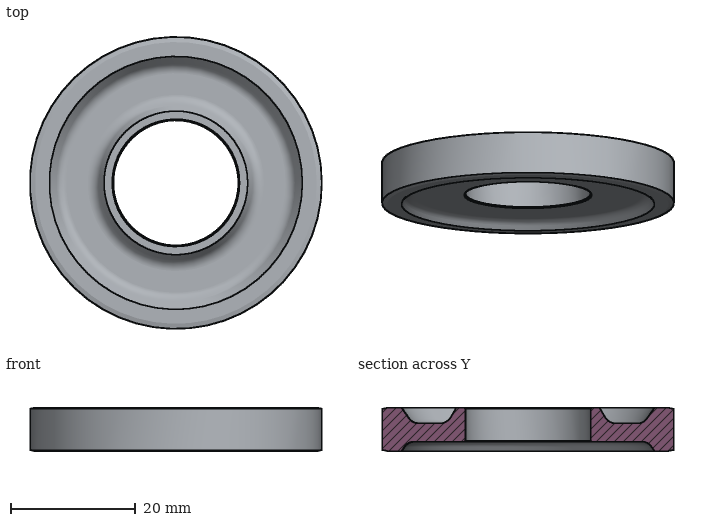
import cadquery as cq
import math

outer_diameter = 46.77
thickness = 7.0
rim_chamfer_width = 0.84
rim_chamfer_height = 0.2

bore_diameter = 20.0
bore_chamfer = 0.2
hub_setback = 1.5

rim_inner_radius = 20.25
rim_wall_angle = 55.0
rim_fillet = 1.8
top_recess_depth = 2.5

hub_outer_radius = 11.5
hub_wall_angle = 60.0
hub_fillet = 2.0

outer_radius = outer_diameter / 2
bore_radius = bore_diameter / 2


def wall_run(depth, angle):
    """Radial distance covered by a wall of the given slope over the given depth."""
    return depth / math.tan(math.radians(angle))


def revolve_about_z(outline):
    """Full turn of a closed radius-height outline about the Z axis."""
    return outline.revolve(360, (0, 0, 0), (0, 1, 0))


def rim_disc():
    """Solid disc whose two outer edges are broken by shallow cones."""
    face_radius = outer_radius - rim_chamfer_width
    outline = (
        cq.Workplane("XZ")
        .lineTo(face_radius, 0)
        .lineTo(outer_radius, rim_chamfer_height)
        .lineTo(outer_radius, thickness - rim_chamfer_height)
        .lineTo(face_radius, thickness)
        .lineTo(0, thickness)
        .close()
    )
    return revolve_about_z(outline)


def top_recess():
    """Annular cutter between hub and rim, with rounded floor corners."""
    floor_z = thickness - top_recess_depth
    floor_inner_radius = hub_outer_radius + wall_run(top_recess_depth, hub_wall_angle)
    floor_outer_radius = rim_inner_radius - wall_run(top_recess_depth, rim_wall_angle)
    outline = (
        cq.Workplane("XZ")
        .moveTo(hub_outer_radius, thickness)
        .lineTo(floor_inner_radius, floor_z)
        .lineTo(floor_outer_radius, floor_z)
        .lineTo(rim_inner_radius, thickness)
        .close()
    )
    cutter = revolve_about_z(outline)
    cutter = cutter.faces("<Z").edges(cq.selectors.RadiusNthSelector(0)).fillet(hub_fillet)
    return cutter.faces("<Z").edges(cq.selectors.RadiusNthSelector(-1)).fillet(rim_fillet)


def bottom_recess():
    """Round dish in the underside that sets the hub end back from the rim."""
    floor_radius = rim_inner_radius - wall_run(hub_setback, rim_wall_angle)
    outline = (
        cq.Workplane("XZ")
        .lineTo(rim_inner_radius, 0)
        .lineTo(floor_radius, hub_setback)
        .lineTo(0, hub_setback)
        .close()
    )
    return revolve_about_z(outline).faces(">Z").edges().fillet(rim_fillet)


def chamfered_bore():
    """Through-bore cutter that flares at both ends of the hub."""
    flared_radius = bore_radius + bore_chamfer
    outline = (
        cq.Workplane("XZ")
        .moveTo(0, hub_setback)
        .lineTo(flared_radius, hub_setback)
        .lineTo(bore_radius, hub_setback + bore_chamfer)
        .lineTo(bore_radius, thickness - bore_chamfer)
        .lineTo(flared_radius, thickness)
        .lineTo(0, thickness)
        .close()
    )
    return revolve_about_z(outline)


result = rim_disc().cut(top_recess()).cut(bottom_recess()).cut(chamfered_bore())